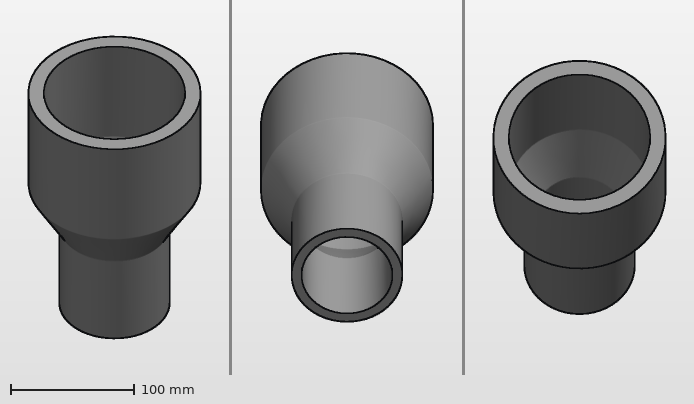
import cadquery as cq

total_height = 225.0
wide_diameter = 140.0
narrow_diameter = 90.0
wide_wall = 12.5
narrow_wall = 8.0
narrow_length = 83.2
wide_length = 96.8
blend_radius = 2.7

wide_radius = wide_diameter / 2
narrow_radius = narrow_diameter / 2
wide_bore_radius = wide_radius - wide_wall
narrow_bore_radius = narrow_radius - narrow_wall
cone_bottom = narrow_length
cone_top = total_height - wide_length


def stepped_cone(lower_radius, upper_radius):
    """Solid of two cylinders joined by a cone, with both cone edges rounded."""
    profile = (
        cq.Workplane("XZ")
        .moveTo(0, 0)
        .lineTo(-lower_radius, 0)
        .lineTo(-lower_radius, cone_bottom)
        .lineTo(-upper_radius, cone_top)
        .lineTo(-upper_radius, total_height)
        .lineTo(0, total_height)
        .close()
    )
    body = profile.revolve(360, (0, 0, 0), (0, 1, 0))
    cone_edges = body.faces("%CONE").edges("%CIRCLE")
    return cone_edges.fillet(blend_radius)


outside = stepped_cone(narrow_radius, wide_radius)
bore = stepped_cone(narrow_bore_radius, wide_bore_radius)
result = outside.cut(bore)